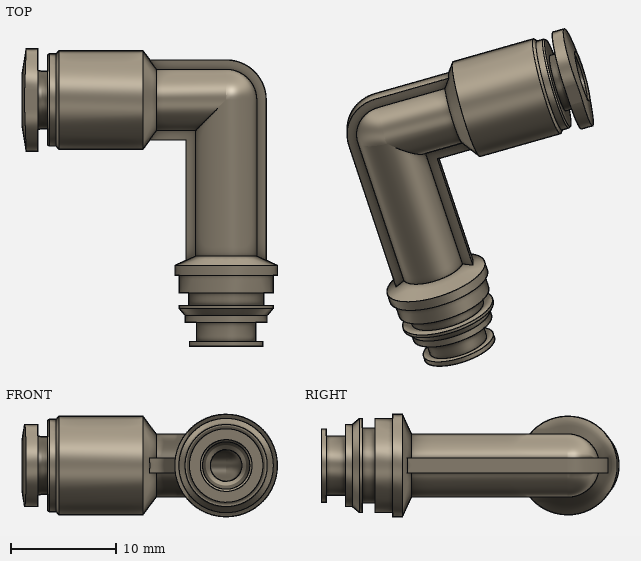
import cadquery as cq

FLANGE_DIA = 9.75
OVERALL_X = 24.28
OVERALL_Y = 28.3
SOCKET_LENGTH = OVERALL_X - FLANGE_DIA / 2
PLUG_LENGTH = OVERALL_Y - FLANGE_DIA / 2

PIPE_DIA = 6.0
WEB_THICKNESS = 1.42
WEB_REACH = 3.82

COLLAR_WIDTH = FLANGE_DIA
COLLAR_HEIGHT = 7.8
COLLAR_BACK = 1.5
COLLAR_FACE_DROP = 0.4
SLEEVE_DIA = 5.5
SLEEVE_ROOT_DIA = 5.65
SLEEVE_TAPER_END = 1.87

BODY_START = 2.43
BODY_EDGE = 0.17
BODY_EDGE_RISE = 0.1
BODY_RING_DIA = 8.8
BODY_RING_END = 3.25
BODY_DIA = 9.4
BODY_CHAMFER_END = 3.5
BODY_END = 11.5
BODY_CONE_END = 12.75

LIP_DIA = 7.0
LIP_END = 0.48
PLUG_NECK_DIA = 5.65
PLUG_NECK_END = 2.3
RING_DIA = 7.8
RING_END = 2.95
SHOULDER_DIA = 8.97
RING_CONE_END = 3.62
GROOVE_START = 3.9
GROOVE_DIA = 7.15
GROOVE_END = 5.1
SHOULDER_END = 6.75
FLANGE_END = 7.7
PLUG_CONE_END = 8.57

PASSAGE_DIA = 3.0
BORE_DIA = 4.5
MOUTH_DIA = 4.92
MOUTH_CHAMFER = (MOUTH_DIA - BORE_DIA) / 2
TUBE_BORE_DIA = 4.0
TUBE_BORE_START = 0.9
SOCKET_BORE_DEPTH = BODY_END
PLUG_BORE_DEPTH = SHOULDER_END
PLUG_BORE_CONE_END = PLUG_CONE_END

SOCKET_PLANE = cq.Plane(origin=(-SOCKET_LENGTH, 0, 0), xDir=(0, 1, 0), normal=(1, 0, 0))
PLUG_PLANE = cq.Plane(origin=(0, -PLUG_LENGTH, 0), xDir=(1, 0, 0), normal=(0, 1, 0))


def turned(plane, stations):
    """Revolve a closed profile of (distance from the open end, diameter) stations."""
    outline = [(0, stations[0][0])]
    outline += [(diameter / 2, distance) for distance, diameter in stations]
    outline.append((0, stations[-1][0]))
    local = cq.Workplane("XZ").polyline(outline).close().revolve(360, (0, 0), (0, 1))
    return cq.Workplane(local.val().located(plane.location))


def elbow(diameter):
    """Mitred right-angle round bar whose outer corner is rounded by a sphere."""
    bend = cq.Workplane("XY").sphere(diameter / 2)
    along_x = cq.Workplane("YZ").circle(diameter / 2).extrude(-SOCKET_LENGTH + BODY_END)
    along_y = cq.Workplane("XZ").circle(diameter / 2).extrude(PLUG_LENGTH - FLANGE_END)
    return along_x.union(along_y).union(bend)


def web():
    """Flat L-shaped web through both pipe axes, rounded at the outer corner."""
    x_end = -SOCKET_LENGTH + BODY_END
    y_end = -PLUG_LENGTH + FLANGE_END
    corner = WEB_REACH * 0.5 ** 0.5
    return (
        cq.Workplane("XY", origin=(0, 0, -WEB_THICKNESS / 2))
        .moveTo(x_end, WEB_REACH)
        .lineTo(0, WEB_REACH)
        .threePointArc((corner, corner), (WEB_REACH, 0))
        .lineTo(WEB_REACH, y_end)
        .lineTo(-WEB_REACH, y_end)
        .lineTo(-WEB_REACH, -WEB_REACH)
        .lineTo(x_end, -WEB_REACH)
        .close()
        .extrude(WEB_THICKNESS)
    )


def release_collar():
    """Oval push collar with a shallow conical face, on a round sleeve."""
    oval = cq.Workplane(SOCKET_PLANE).slot2D(COLLAR_WIDTH, COLLAR_HEIGHT).extrude(COLLAR_BACK)
    face_limit = turned(SOCKET_PLANE, [
        (0, MOUTH_DIA),
        (COLLAR_FACE_DROP, COLLAR_WIDTH),
        (COLLAR_BACK, COLLAR_WIDTH),
    ])
    sleeve = turned(SOCKET_PLANE, [
        (COLLAR_BACK, SLEEVE_ROOT_DIA),
        (SLEEVE_TAPER_END, SLEEVE_DIA),
        (BODY_START, SLEEVE_DIA),
    ])
    return oval.intersect(face_limit).union(sleeve)


def socket_body():
    return turned(SOCKET_PLANE, [
        (BODY_START, BODY_RING_DIA - 2 * BODY_EDGE_RISE),
        (BODY_START + BODY_EDGE, BODY_RING_DIA),
        (BODY_RING_END, BODY_RING_DIA),
        (BODY_CHAMFER_END, BODY_DIA),
        (BODY_END, BODY_DIA),
        (BODY_CONE_END, PIPE_DIA),
    ])


def plug():
    return turned(PLUG_PLANE, [
        (0, LIP_DIA),
        (LIP_END, LIP_DIA),
        (LIP_END, PLUG_NECK_DIA),
        (PLUG_NECK_END, PLUG_NECK_DIA),
        (PLUG_NECK_END, RING_DIA),
        (RING_END, RING_DIA),
        (RING_CONE_END, SHOULDER_DIA),
        (GROOVE_START, SHOULDER_DIA),
        (GROOVE_START, GROOVE_DIA),
        (GROOVE_END, GROOVE_DIA),
        (GROOVE_END, SHOULDER_DIA),
        (SHOULDER_END, SHOULDER_DIA),
        (SHOULDER_END, FLANGE_DIA),
        (FLANGE_END, FLANGE_DIA),
        (PLUG_CONE_END, PIPE_DIA),
    ])


def socket_bore():
    """Tube bore with a chamfered mouth and a tapered lead-in."""
    return turned(SOCKET_PLANE, [
        (0, MOUTH_DIA),
        (MOUTH_CHAMFER, BORE_DIA),
        (TUBE_BORE_START, TUBE_BORE_DIA),
        (SOCKET_BORE_DEPTH, TUBE_BORE_DIA),
    ])


def plug_bore():
    """Plug bore with a chamfered mouth, tapering down to the elbow passage."""
    return turned(PLUG_PLANE, [
        (0, MOUTH_DIA),
        (MOUTH_CHAMFER, BORE_DIA),
        (PLUG_BORE_DEPTH, BORE_DIA),
        (PLUG_BORE_CONE_END, PASSAGE_DIA),
    ])


outside = elbow(PIPE_DIA).union(web()).union(release_collar()).union(socket_body()).union(plug())
result = outside.cut(elbow(PASSAGE_DIA)).cut(socket_bore()).cut(plug_bore())